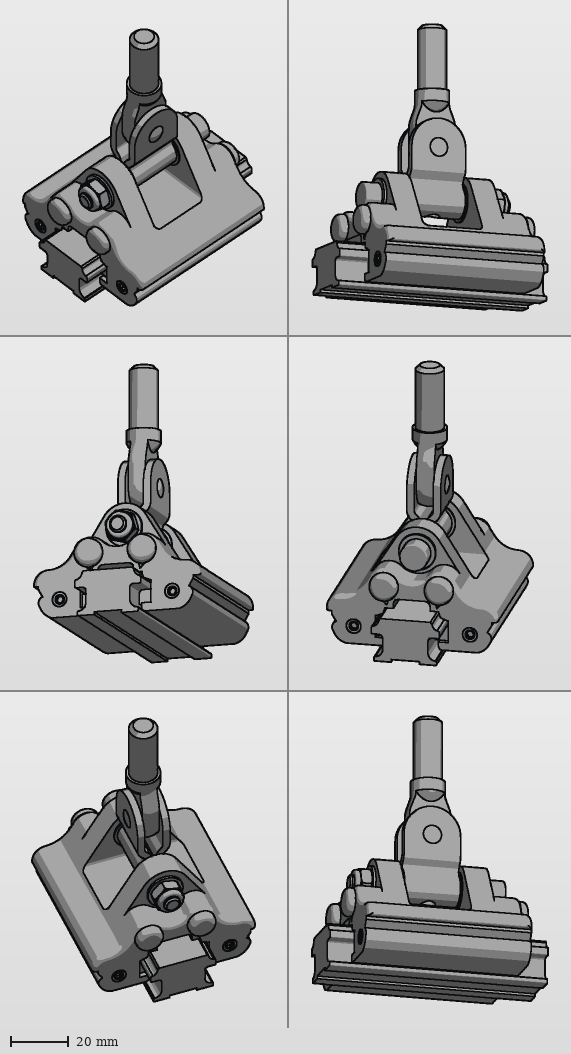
import cadquery as cq
import math


RAIL_LENGTH = 78.0
RAIL_TOP = 15.8
RAIL_TOP_HALF = 8.9
HEAD_HALF = 12.0
HEAD_UNDERSIDE = 9.9
HEAD_SHOULDER = 12.8
HEAD_TOP_ROUND = 0.8
HEAD_LOWER_ROUND = 0.5
GROOVE_START = (9.5, 15.1)
GROOVE_MIDDLE = (10.0, 13.7)
NECK_HALF = 8.0
NECK_CORNER = 1.3
FOOT_HALF = 11.1
FOOT_THICKNESS = 1.6
FOOT_ROUND = 0.5
FOOT_SWEEP = 2.9
UNDERCUT_HALF = 5.0
UNDERCUT_DEPTH = 1.0

CENTRE_Y = -1.05
CARRIAGE_LENGTH = 59.2
HINGE_Z = 34.0
DOME_RADIUS = 8.9
BOSS_X = 9.7
BOSS_Z = 23.9
BOSS_RADIUS = 6.0
WING_TOP = 19.4
WING_DIP_RADIUS = 9.55
WING_HALF = 30.5
WING_TIP_Z = 13.4
WING_TIP_ROUND = 0.9
WING_THICKNESS = 2.2
END_ROUND = 2.0
LUG_OUTER = 20.05
POCKET_HALF = 11.2
POCKET_FLOOR = 21.8
POCKET_ROUND = 1.9

JAW_SHOULDER_Z = 12.2
JAW_WAIST = (26.7, 9.6)
JAW_TIP_MIDDLE = (27.9, 8.6)
JAW_TIP_END = (28.1, 6.7)
JAW_BELLY_START = (27.3, 5.2)
JAW_BELLY_MIDDLE = (25.7, 3.15)
JAW_BOTTOM_X = 23.2
JAW_BOTTOM = 1.9
JAW_LIP_X = 9.5
JAW_LIP_ROUND = 1.4
CAVITY_HALF = 12.9
CAVITY_FLOOR = 4.9
CAVITY_TOP = 12.7
CAVITY_NOSE = (10.1, 13.8)
RAIL_GAP = 0.2
WINDOW_HALF = 6.5
WINDOW_TOP = 19.4
WINDOW_ROUND = 1.9
SLIT = [(8.2, 19.6), (11.3, 19.6), (8.9, 17.1)]
BEARING_HALF_LENGTH = 27.7

CAP_DIAMETER = 10.0
CAP_HEIGHT = 3.1
CAP_ROUND = 2.0
SCREW_X = 20.5
SCREW_Z = 8.3
SCREW_DIAMETER = 5.2
SCREW_RECESS = 0.2
SOCKET_RIM_DIAMETER = 3.2
SOCKET_RIM_DEPTH = 0.5
SOCKET_CORNERS = 2.7
SOCKET_DEPTH = 1.4

BOLT_DIAMETER = 5.9
WASHER_DIAMETER = 13.0
WASHER_THICKNESS = 1.0
BOLT_HEAD_DIAMETER = 9.8
BOLT_HEAD_HEIGHT = 6.0
BOLT_HEAD_ROUND = 0.6
NUT_CORNERS = 11.6
NUT_HEIGHT = 3.9
NUT_CHAMFER = 0.5
NUT_TURN = -14
COLLAR_DIAMETER = 9.5
COLLAR_HEIGHT = 1.8
COLLAR_ROUND = 0.9
BOLT_END_HEIGHT = 1.3
BOLT_END_CHAMFER = 0.7

SHACKLE_Y = -0.8
SHACKLE_HALF_LENGTH = 10.1
CHEEK_OUTER = 6.0
STRAP_THICKNESS = 2.7
CHEEK_STRAIGHT_Z = 45.4
BEND_RADIUS = 4.6
DRUM_RADIUS = 5.6
GROOVE_RADIUS = 2.7
FLANGE_DIAMETER = 13.5
FLANGE_THICKNESS = 0.5
DRAIN_DIAMETER = 5.2
RIVET_Z = 52.0
RIVET_HEAD_DIAMETER = 6.5
RIVET_HEAD_HEIGHT = 0.9
RIVET_DIAMETER = 5.8

TOP_Z = 95.5
STUD_DIAMETER = 10.0
STUD_CHAMFER = 1.5
STUD_COLLAR_DIAMETER = 12.0
STUD_COLLAR_TOP = 72.6
STUD_COLLAR_BOTTOM = 68.3
STUD_CONE_BOTTOM = 64.5
STUD_CONE_END_RADIUS = 2.8
STUD_CONE_MIDDLE = (4.9, 66.5)
EYE_HALF_THICKNESS = 3.15
EYE_RADIUS = 8.0
EYE_BORE = 6.0
EYE_HOLLOW_MIDDLE = (6.1, 66.8)
EYE_HOLLOW_END = (6.5, 65.5)
EYE_FLARE_END = (7.5, 62.5)
EYE_STRAIGHT_Z = 59.9


def section(y):
    """A sketch plane across the rail; extruding from it runs toward -Y."""
    return cq.Workplane("XZ", origin=(0, y, 0))


def disc(radius, x, z, y_start, length):
    """A round bar along Y, running from y_start toward -Y."""
    return section(y_start).center(x, z).circle(radius).extrude(length)


def point_on(centre, radius, direction):
    return (centre[0] + radius * direction[0], centre[1] + radius * direction[1])


def unit(start, end):
    length = math.dist(start, end)
    return ((end[0] - start[0]) / length, (end[1] - start[1]) / length)


def between(direction_a, direction_b):
    """The unit direction halfway between two directions."""
    return unit((0, 0), (direction_a[0] + direction_b[0], direction_a[1] + direction_b[1]))


def make_rail():
    foot_side = FOOT_HALF - FOOT_ROUND
    outline = (
        section(RAIL_LENGTH / 2)
        .moveTo(0, RAIL_TOP)
        .lineTo(RAIL_TOP_HALF, RAIL_TOP)
        .lineTo(*GROOVE_START)
        .threePointArc(GROOVE_MIDDLE, (HEAD_HALF - HEAD_TOP_ROUND, HEAD_SHOULDER))
        .radiusArc((HEAD_HALF, HEAD_SHOULDER - HEAD_TOP_ROUND), HEAD_TOP_ROUND)
        .lineTo(HEAD_HALF, HEAD_UNDERSIDE + HEAD_LOWER_ROUND)
        .radiusArc((HEAD_HALF - HEAD_LOWER_ROUND, HEAD_UNDERSIDE), HEAD_LOWER_ROUND)
        .lineTo(NECK_HALF + NECK_CORNER, HEAD_UNDERSIDE)
        .radiusArc((NECK_HALF, HEAD_UNDERSIDE - NECK_CORNER), -NECK_CORNER)
        .lineTo(NECK_HALF, FOOT_THICKNESS + FOOT_SWEEP)
        .radiusArc((NECK_HALF + FOOT_SWEEP, FOOT_THICKNESS), -FOOT_SWEEP)
        .lineTo(foot_side, FOOT_THICKNESS)
        .radiusArc((FOOT_HALF, FOOT_THICKNESS - FOOT_ROUND), FOOT_ROUND)
        .lineTo(FOOT_HALF, FOOT_ROUND)
        .radiusArc((foot_side, 0), FOOT_ROUND)
        .lineTo(UNDERCUT_HALF, 0)
        .lineTo(UNDERCUT_HALF, UNDERCUT_DEPTH)
        .lineTo(0, UNDERCUT_DEPTH)
    )
    return outline.mirrorY().extrude(RAIL_LENGTH)


HINGE = (0, HINGE_Z)
BOSS = (BOSS_X, BOSS_Z)
TO_BOSS = unit(HINGE, BOSS)
FLANK_LEAN = math.acos((DOME_RADIUS - BOSS_RADIUS) / math.dist(HINGE, BOSS))
FLANK_ANGLE = math.atan2(TO_BOSS[1], TO_BOSS[0]) + FLANK_LEAN
FLANK_NORMAL = (math.cos(FLANK_ANGLE), math.sin(FLANK_ANGLE))
SADDLE_RADIUS = math.dist(HINGE, BOSS) - BOSS_RADIUS
DIP_Z = WING_TOP + WING_DIP_RADIUS
DIP_OFFSET = HINGE_Z * FLANK_NORMAL[1] + DOME_RADIUS + WING_DIP_RADIUS
DIP = ((DIP_OFFSET - DIP_Z * FLANK_NORMAL[1]) / FLANK_NORMAL[0], DIP_Z)
FLANK_FOOT = point_on(DIP, -WING_DIP_RADIUS, FLANK_NORMAL)


def make_carriage_body():
    """The full-length saddle with its two bosses, wings and jaws, rounded along the upper end edges."""
    y_end = CENTRE_Y + CARRIAGE_LENGTH / 2
    away_from_hinge = (-TO_BOSS[0], -TO_BOSS[1])
    dip_middle = between(FLANK_NORMAL, (0, 1))
    wing_radius = WING_HALF - DIP[0]
    wing_centre = (DIP[0], WING_TOP - wing_radius)
    diagonal = between((1, 0), (0, 1))
    outline = (
        section(y_end)
        .moveTo(0, HINGE_Z - SADDLE_RADIUS)
        .threePointArc(
            point_on(HINGE, SADDLE_RADIUS, between((0, -1), TO_BOSS)), point_on(HINGE, SADDLE_RADIUS, TO_BOSS)
        )
        .threePointArc(
            point_on(BOSS, BOSS_RADIUS, between(away_from_hinge, FLANK_NORMAL)),
            point_on(BOSS, BOSS_RADIUS, FLANK_NORMAL),
        )
        .lineTo(*FLANK_FOOT)
        .threePointArc(point_on(DIP, -WING_DIP_RADIUS, dip_middle), (DIP[0], WING_TOP))
        .threePointArc(point_on(wing_centre, wing_radius, diagonal), (WING_HALF, wing_centre[1]))
        .lineTo(WING_HALF, WING_TIP_Z)
        .lineTo(WING_HALF - WING_THICKNESS, WING_TIP_Z)
        .lineTo(WING_HALF - WING_THICKNESS, JAW_SHOULDER_Z)
        .lineTo(*JAW_WAIST)
        .threePointArc(JAW_TIP_MIDDLE, JAW_TIP_END)
        .lineTo(*JAW_BELLY_START)
        .threePointArc(JAW_BELLY_MIDDLE, (JAW_BOTTOM_X, JAW_BOTTOM))
        .lineTo(0, JAW_BOTTOM)
    )
    body = outline.mirrorY().extrude(CARRIAGE_LENGTH)
    upper_end_edges = cq.selectors.BoxSelector(
        (-2 * WING_HALF, -RAIL_LENGTH, wing_centre[1] - 0.3), (2 * WING_HALF, RAIL_LENGTH, TOP_Z)
    )
    return body.faces(">Y or <Y").edges(upper_end_edges).fillet(END_ROUND)


def make_wing_tip_trim():
    """The waste outside the rounded outer corner of the +X wing tip."""
    y_end = CENTRE_Y + CARRIAGE_LENGTH / 2
    round_x = WING_HALF - WING_TIP_ROUND
    round_z = WING_TIP_Z + WING_TIP_ROUND
    corner = (
        section(y_end)
        .rect(2 * WING_TIP_ROUND, -2 * WING_TIP_ROUND, centered=False)
        .extrude(CARRIAGE_LENGTH)
        .translate((round_x, 0, round_z))
    )
    return corner.cut(disc(WING_TIP_ROUND, round_x, round_z, y_end, CARRIAGE_LENGTH))


def make_lugs():
    """The domed block that carries the hinge, before the pocket splits it into two lugs."""
    outline = (
        section(CENTRE_Y + LUG_OUTER)
        .moveTo(0, HINGE_Z + DOME_RADIUS)
        .threePointArc(
            point_on(HINGE, DOME_RADIUS, between((0, 1), FLANK_NORMAL)), point_on(HINGE, DOME_RADIUS, FLANK_NORMAL)
        )
        .lineTo(*FLANK_FOOT)
        .lineTo(0, FLANK_FOOT[1])
    )
    return outline.mirrorY().extrude(2 * LUG_OUTER)


def make_pocket():
    """The room for the shackle between the lugs."""
    height = HINGE_Z + DOME_RADIUS - POCKET_FLOOR + 1
    return (
        cq.Workplane("XY", origin=(0, CENTRE_Y, POCKET_FLOOR))
        .box(2 * WING_HALF, 2 * POCKET_HALF, height, centered=(True, True, False))
        .edges("|X and <Z")
        .fillet(POCKET_ROUND)
    )


def make_channel():
    """The opening around the rail, with the window above it."""
    outline = (
        section(CENTRE_Y + CARRIAGE_LENGTH / 2)
        .moveTo(0, WINDOW_TOP)
        .lineTo(WINDOW_HALF - WINDOW_ROUND, WINDOW_TOP)
        .radiusArc((WINDOW_HALF, WINDOW_TOP - WINDOW_ROUND), WINDOW_ROUND)
        .lineTo(WINDOW_HALF, RAIL_TOP + RAIL_GAP)
        .lineTo(GROOVE_START[0], RAIL_TOP + RAIL_GAP)
        .lineTo(*CAVITY_NOSE)
        .lineTo(CAVITY_HALF, CAVITY_TOP)
        .lineTo(CAVITY_HALF, CAVITY_FLOOR)
        .lineTo(JAW_LIP_X, CAVITY_FLOOR)
        .lineTo(JAW_LIP_X, JAW_BOTTOM + JAW_LIP_ROUND)
        .radiusArc((JAW_LIP_X + JAW_LIP_ROUND, JAW_BOTTOM), -JAW_LIP_ROUND)
        .lineTo(0, JAW_BOTTOM)
    )
    return outline.mirrorY().extrude(CARRIAGE_LENGTH)


def make_bearing(side):
    """The strip under the rail head that bears on the rail's neck."""
    return cq.Workplane("XY").box(
        CAVITY_HALF - NECK_HALF, 2 * BEARING_HALF_LENGTH, HEAD_UNDERSIDE - CAVITY_FLOOR, centered=(True, True, False)
    ).translate((side * (CAVITY_HALF + NECK_HALF) / 2, CENTRE_Y, CAVITY_FLOOR))


def make_cap(side):
    """The round cap on one boss at the -Y end of the carriage."""
    y_face = CENTRE_Y - CARRIAGE_LENGTH / 2
    return disc(CAP_DIAMETER / 2, side * BOSS_X, BOSS_Z, y_face, CAP_HEIGHT).faces("<Y").edges().fillet(CAP_ROUND)


def make_screw_recess(side):
    """The sunk face and hexagon socket of one end screw at the -Y end."""
    y_face = CENTRE_Y - CARRIAGE_LENGTH / 2
    sunk_face = disc(SCREW_DIAMETER / 2, side * SCREW_X, SCREW_Z, y_face + SCREW_RECESS, SCREW_RECESS)
    rim = disc(SOCKET_RIM_DIAMETER / 2, side * SCREW_X, SCREW_Z, y_face + SOCKET_RIM_DEPTH, SOCKET_RIM_DEPTH)
    socket = (
        section(y_face + SOCKET_DEPTH)
        .center(side * SCREW_X, SCREW_Z)
        .polygon(6, SOCKET_CORNERS)
        .extrude(SOCKET_DEPTH)
    )
    return sunk_face.union(rim).union(socket)


def make_hinge_bolt():
    """The bolt with its head at the +Y end, its two washers and the locking nut at the -Y end."""
    y_head = CENTRE_Y + LUG_OUTER + WASHER_THICKNESS
    y_nut = CENTRE_Y - LUG_OUTER - WASHER_THICKNESS
    y_collar = y_nut - NUT_HEIGHT
    y_end = y_collar - COLLAR_HEIGHT - BOLT_END_HEIGHT

    head = disc(BOLT_HEAD_DIAMETER / 2, 0, HINGE_Z, y_head + BOLT_HEAD_HEIGHT, BOLT_HEAD_HEIGHT)
    head = head.faces(">Y").edges().fillet(BOLT_HEAD_ROUND)
    shank = disc(BOLT_DIAMETER / 2, 0, HINGE_Z, y_head, y_head - y_end)
    shank = shank.faces("<Y").edges().chamfer(BOLT_END_CHAMFER)
    head_washer = disc(WASHER_DIAMETER / 2, 0, HINGE_Z, y_head, WASHER_THICKNESS)
    nut_washer = disc(WASHER_DIAMETER / 2, 0, HINGE_Z, y_nut + WASHER_THICKNESS, WASHER_THICKNESS)

    hexagon = (
        section(y_nut)
        .center(0, HINGE_Z)
        .transformed(rotate=(0, 0, NUT_TURN))
        .polygon(6, NUT_CORNERS)
        .extrude(NUT_HEIGHT)
    )
    corner_trim = disc(NUT_CORNERS / 2, 0, HINGE_Z, y_nut, NUT_HEIGHT).faces(">Y or <Y").edges().chamfer(NUT_CHAMFER)
    collar = disc(COLLAR_DIAMETER / 2, 0, HINGE_Z, y_collar, COLLAR_HEIGHT).faces("<Y").edges().fillet(COLLAR_ROUND)
    nut = hexagon.intersect(corner_trim).union(collar)
    return shank.union(head).union(head_washer).union(nut_washer).union(nut)


def make_carriage(rail):
    carriage = make_carriage_body().union(make_lugs()).cut(make_pocket()).cut(make_channel())
    tip_trim = make_wing_tip_trim()
    carriage = carriage.cut(tip_trim).cut(tip_trim.mirror("YZ"))
    slit = section(CENTRE_Y + CARRIAGE_LENGTH / 2).polyline(SLIT).close().extrude(CARRIAGE_LENGTH)
    carriage = carriage.cut(slit).cut(slit.mirror("YZ"))
    for side in (-1, 1):
        carriage = carriage.union(make_bearing(side).cut(rail))
        cap = make_cap(side)
        recess = make_screw_recess(side)
        mid_plane = (0, CENTRE_Y, 0)
        carriage = carriage.union(cap).union(cap.mirror("XZ", mid_plane))
        carriage = carriage.cut(recess).cut(recess.mirror("XZ", mid_plane))
    return carriage.union(make_hinge_bolt())


def make_shackle():
    """A strap rolled around the hinge bolt, with its two ends standing up as cheeks joined by a rivet."""
    y_end = SHACKLE_Y + SHACKLE_HALF_LENGTH
    length = 2 * SHACKLE_HALF_LENGTH
    cheek_top = RIVET_Z + SHACKLE_HALF_LENGTH

    bend = (CHEEK_OUTER - BEND_RADIUS, CHEEK_STRAIGHT_Z)
    bend_reach = BEND_RADIUS + GROOVE_RADIUS
    drum_reach = DRUM_RADIUS + GROOVE_RADIUS
    spread = math.dist(HINGE, bend)
    turn = math.acos((drum_reach**2 + spread**2 - bend_reach**2) / (2 * drum_reach * spread))
    groove_angle = math.atan2(bend[1] - HINGE_Z, bend[0]) - turn
    to_groove = (math.cos(groove_angle), math.sin(groove_angle))
    groove = point_on(HINGE, drum_reach, to_groove)
    bend_to_groove = unit(bend, groove)
    groove_to_drum = (-to_groove[0], -to_groove[1])
    groove_to_bend = (-bend_to_groove[0], -bend_to_groove[1])
    bend_middle = between((1, 0), bend_to_groove)
    groove_middle = between(groove_to_bend, groove_to_drum)
    inner_bend_radius = BEND_RADIUS - STRAP_THICKNESS
    inner_groove_radius = GROOVE_RADIUS + STRAP_THICKNESS
    bore_radius = DRUM_RADIUS - STRAP_THICKNESS

    outline = (
        section(y_end)
        .moveTo(0, cheek_top)
        .lineTo(CHEEK_OUTER, cheek_top)
        .lineTo(CHEEK_OUTER, CHEEK_STRAIGHT_Z)
        .threePointArc(point_on(bend, BEND_RADIUS, bend_middle), point_on(bend, BEND_RADIUS, bend_to_groove))
        .threePointArc(point_on(groove, GROOVE_RADIUS, groove_middle), point_on(HINGE, DRUM_RADIUS, to_groove))
        .lineTo(0, HINGE_Z)
    )
    shackle = outline.mirrorY().extrude(length).union(disc(DRUM_RADIUS, *HINGE, y_end, length))

    cheek_inner = CHEEK_OUTER - STRAP_THICKNESS
    opening = (
        section(y_end)
        .moveTo(0, cheek_top)
        .lineTo(cheek_inner, cheek_top)
        .lineTo(cheek_inner, CHEEK_STRAIGHT_Z)
        .threePointArc(
            point_on(bend, inner_bend_radius, bend_middle), point_on(bend, inner_bend_radius, bend_to_groove)
        )
        .threePointArc(
            point_on(groove, inner_groove_radius, groove_middle), point_on(HINGE, bore_radius, to_groove)
        )
        .lineTo(0, HINGE_Z)
    )
    shackle = shackle.cut(opening.mirrorY().extrude(length))

    side_outline = (
        cq.Workplane("YZ", origin=(0, SHACKLE_Y, 0))
        .moveTo(-SHACKLE_HALF_LENGTH, 0)
        .lineTo(-SHACKLE_HALF_LENGTH, RIVET_Z)
        .threePointArc((0, cheek_top), (SHACKLE_HALF_LENGTH, RIVET_Z))
        .lineTo(SHACKLE_HALF_LENGTH, 0)
        .close()
        .extrude(2 * CHEEK_OUTER, both=True)
    )
    shackle = shackle.intersect(side_outline)

    for flange_start in (y_end + FLANGE_THICKNESS, y_end - length):
        shackle = shackle.union(disc(FLANGE_DIAMETER / 2, 0, HINGE_Z, flange_start, FLANGE_THICKNESS))
    bore_length = length + 2 * FLANGE_THICKNESS
    shackle = shackle.cut(disc(bore_radius, 0, HINGE_Z, y_end + FLANGE_THICKNESS, bore_length))
    drain = cq.Workplane("XY", origin=(0, SHACKLE_Y, 0)).circle(DRAIN_DIAMETER / 2).extrude(HINGE_Z)
    return shackle.cut(drain).union(make_rivet())


def make_rivet():
    """The rivet along X, with a domed head standing on each cheek."""
    head_radius = RIVET_HEAD_DIAMETER / 2
    dome_radius = (head_radius**2 + RIVET_HEAD_HEIGHT**2) / (2 * RIVET_HEAD_HEIGHT)
    half_angle = math.asin(head_radius / dome_radius) / 2
    dome_middle = (
        CHEEK_OUTER + RIVET_HEAD_HEIGHT - dome_radius * (1 - math.cos(half_angle)),
        dome_radius * math.sin(half_angle),
    )
    half_outline = (
        cq.Workplane("XY")
        .moveTo(0, 0)
        .lineTo(0, RIVET_DIAMETER / 2)
        .lineTo(CHEEK_OUTER, RIVET_DIAMETER / 2)
        .lineTo(CHEEK_OUTER, head_radius)
        .threePointArc(dome_middle, (CHEEK_OUTER + RIVET_HEAD_HEIGHT, 0))
        .close()
    )
    half_rivet = half_outline.revolve(360, (0, 0, 0), (1, 0, 0))
    return half_rivet.union(half_rivet.mirror("YZ")).translate((0, SHACKLE_Y, RIVET_Z))


def make_stud():
    """The upright stud, ending below in a flat eye between the cheeks."""
    collar_radius = STUD_COLLAR_DIAMETER / 2
    shaft = (
        cq.Workplane("XY", origin=(0, SHACKLE_Y, STUD_COLLAR_TOP))
        .circle(STUD_DIAMETER / 2)
        .extrude(TOP_Z - STUD_COLLAR_TOP)
        .faces(">Z")
        .edges()
        .chamfer(STUD_CHAMFER)
    )
    collar = (
        cq.Workplane("XZ")
        .moveTo(0, STUD_COLLAR_TOP)
        .lineTo(collar_radius, STUD_COLLAR_TOP)
        .lineTo(collar_radius, STUD_COLLAR_BOTTOM)
        .threePointArc(STUD_CONE_MIDDLE, (STUD_CONE_END_RADIUS, STUD_CONE_BOTTOM))
        .lineTo(0, STUD_CONE_BOTTOM)
        .close()
        .revolve(360, (0, 0, 0), (0, 1, 0))
        .translate((0, SHACKLE_Y, 0))
    )
    eye_outline = (
        cq.Workplane("XZ")
        .moveTo(0, STUD_COLLAR_BOTTOM)
        .lineTo(collar_radius, STUD_COLLAR_BOTTOM)
        .threePointArc(EYE_HOLLOW_MIDDLE, EYE_HOLLOW_END)
        .lineTo(*EYE_FLARE_END)
        .tangentArcPoint((EYE_RADIUS, EYE_STRAIGHT_Z), relative=False)
        .lineTo(EYE_RADIUS, RIVET_Z)
        .radiusArc((0, RIVET_Z - EYE_RADIUS), EYE_RADIUS)
        .close()
    )
    eye = eye_outline.revolve(360, (0, 0, 0), (0, 1, 0)).translate((0, SHACKLE_Y, 0))
    slice_width = 2 * EYE_HALF_THICKNESS
    eye = eye.intersect(cq.Workplane("XY").box(slice_width, 4 * EYE_RADIUS, 2 * TOP_Z))
    bore = (
        cq.Workplane("YZ", origin=(0, SHACKLE_Y, RIVET_Z)).circle(EYE_BORE / 2).extrude(EYE_HALF_THICKNESS, both=True)
    )
    return shaft.union(collar).union(eye).cut(bore)


rail = make_rail()
carriage = make_carriage(rail)
shackle = make_shackle()
stud = make_stud()

result = cq.Compound.makeCompound([rail.val(), carriage.val(), shackle.val(), stud.val()])